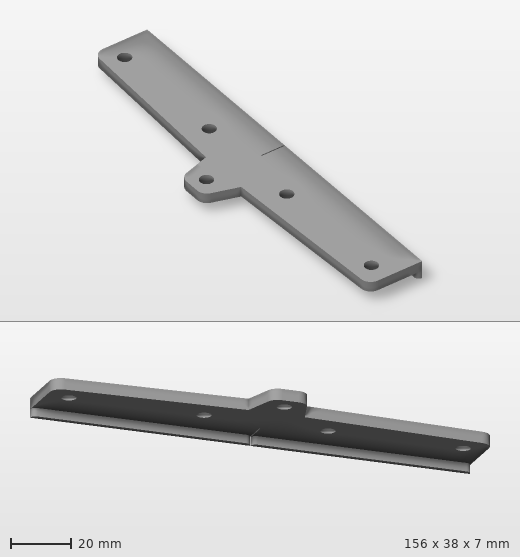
import cadquery as cq

plate_length = 156.0
plate_thickness = 4.0
end_depth = 22.0
middle_depth = 25.0
corner_radius = 4.0

tab_root_width = 20.0
tab_tip_width = 12.0
total_depth = 38.0

lip_width = 2.0
lip_height = 3.0
lip_corner_radius = 1.8

hole_diameter = 5.1
row_hole_depth = 15.0
inner_hole_x = 22.0
outer_hole_x = 70.0
tab_hole_depth = 32.0

slot_width = 0.4
slot_length = 9.5

half_length = plate_length / 2


def make_plate():
    """Plate with sloping front edges, a tapered tab and rounded corners."""
    half_root = tab_root_width / 2
    half_tip = tab_tip_width / 2
    outline = [
        (-half_length, 0),
        (-half_length, -end_depth),
        (-half_root, -middle_depth),
        (-half_tip, -total_depth),
        (half_tip, -total_depth),
        (half_root, -middle_depth),
        (half_length, -end_depth),
        (half_length, 0),
    ]
    plate = cq.Workplane("XY").polyline(outline).close().extrude(plate_thickness)
    end_corners = plate.edges("|Z and (<X or >X)").edges("<Y")
    plate = end_corners.fillet(corner_radius)
    return plate.edges("|Z").edges("<Y").fillet(corner_radius)


def make_lip_half(start_x):
    """One half of the lip, with its two front corners rounded."""
    lip_length = half_length - slot_width / 2
    return (
        cq.Workplane("XY")
        .box(lip_length, lip_width, lip_height, centered=False)
        .edges("|Z and <Y")
        .fillet(lip_corner_radius)
        .translate((start_x, -lip_width, -lip_height))
    )


def make_holes():
    """Cutters for the row of four holes and the tab hole."""
    row_x = (-outer_hole_x, -inner_hole_x, inner_hole_x, outer_hole_x)
    centres = [(x, -row_hole_depth) for x in row_x]
    centres.append((0, -tab_hole_depth))
    return cq.Workplane("XY").pushPoints(centres).circle(hole_diameter / 2).extrude(plate_thickness)


def make_slot():
    """Cutter for the slot on the centre line of the plate."""
    return (
        cq.Workplane("XY")
        .box(slot_width, slot_length, plate_thickness, centered=(True, False, False))
        .translate((0, -slot_length, 0))
    )


result = make_plate()
for lip_start in (-half_length, slot_width / 2):
    result = result.union(make_lip_half(lip_start))
result = result.cut(make_holes()).cut(make_slot())